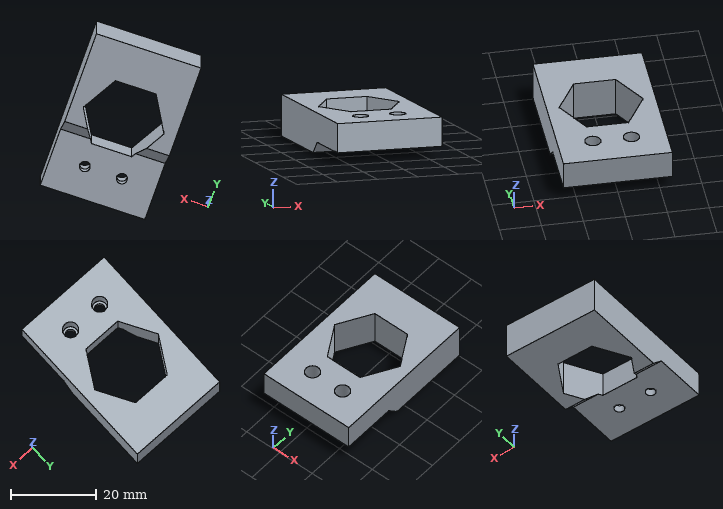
import cadquery as cq

width = 26.0
length = 40.5
height = 10.0
step_height = 3.0
thin_length = 14.65
slope_run = step_height

hex_across_corners = 20.0
hex_from_front = 22.3

hole_spacing = 9.2
hole_from_front = 7.78
hole_diameter = 2.5
counterbore_diameter = 3.75
counterbore_depth = 5.0


def stepped_block():
    """Side profile in the YZ plane, extruded symmetrically across the width."""
    return (
        cq.Workplane("YZ")
        .moveTo(0, step_height)
        .lineTo(thin_length, step_height)
        .lineTo(thin_length + slope_run, 0)
        .lineTo(length, 0)
        .lineTo(length, height)
        .lineTo(0, height)
        .close()
        .extrude(width / 2, both=True)
    )


def hex_opening():
    return (
        cq.Workplane("XY")
        .center(0, hex_from_front)
        .polygon(6, hex_across_corners)
        .extrude(height)
    )


def add_counterbored_holes(body):
    hole_centers = [(side * hole_spacing / 2, hole_from_front) for side in (-1, 1)]
    return (
        body.faces(">Z")
        .workplane(origin=(0, 0, height))
        .pushPoints(hole_centers)
        .cboreHole(hole_diameter, counterbore_diameter, counterbore_depth)
    )


result = add_counterbored_holes(stepped_block().cut(hex_opening()))